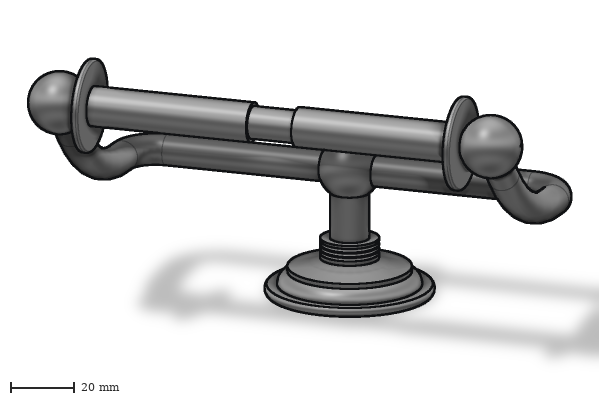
import cadquery as cq
import math

overall_width = 164.6
ball_radius = 10.0
tube_radius = ball_radius / 2
arm_x = overall_width / 2 - ball_radius
bar_height = 41.2
bend_radius = 11.0

roller_y = -71.8
roller_height = 76.4
arm_angle = math.radians(48)

flange_radius = 27.0
flange_height = 3.0
flange_bulge = 0.7
bulge_radius = 23.0
step_radius = 19.8
shoulder_radius = 21.7
shoulder_height = 6.1
step_bottom = 7.2
step_top = 8.9
dish_radius = 14.0
dish_height = 10.0
collar_radius = 9.4
collar_bottom = 11.7
collar_top = 18.3
stem_radius = 6.3

groove_count = 3
groove_width = 1.2
groove_depth = 0.3
groove_pitch = 1.5
grooves_bottom = 13.2

disc_radius = 15.0
disc_inner_x = 61.0
disc_thickness = 2.3
disc_rounding = 0.7
sleeve_radius = 6.5
spindle_radius = 5.3
spindle_half_gap = 7.5


def x_cylinder(radius, x_start, x_end, y, z):
    """Cylinder along X between two positions."""
    plane = cq.Workplane("YZ", origin=(x_start, y, z))
    return plane.circle(radius).extrude(x_end - x_start)


def ball(x, y, z):
    return cq.Workplane("XY").sphere(ball_radius).translate((x, y, z))


def make_base():
    """Turned foot with a dished top, grooved collar and plain stem."""
    rim_edge = flange_radius - flange_bulge
    outline = (
        cq.Workplane("XZ")
        .lineTo(rim_edge, 0)
        .threePointArc((flange_radius, flange_height / 2), (rim_edge, flange_height))
        .lineTo(bulge_radius, flange_height)
        .threePointArc((shoulder_radius, shoulder_height), (step_radius, step_bottom))
        .lineTo(step_radius, step_top)
        .threePointArc((dish_radius, dish_height), (collar_radius, collar_bottom))
    )
    for index in range(groove_count):
        groove_start = grooves_bottom + index * groove_pitch
        outline = outline.lineTo(collar_radius, groove_start)
        deepest = (collar_radius - groove_depth, groove_start + groove_width / 2)
        outline = outline.threePointArc(deepest, (collar_radius, groove_start + groove_width))
    foot = (
        outline.lineTo(collar_radius, collar_top)
        .lineTo(0, collar_top)
        .close()
        .revolve(360, (0, 0, 0), (0, 1, 0))
    )
    stem = cq.Workplane("XY").circle(stem_radius).extrude(bar_height)
    return foot.union(stem)


def make_half_frame():
    """Right half of the frame: cross bar, corner bend, rising arm and end ball."""
    straight_x = arm_x - bend_radius
    rise = roller_height - bar_height
    reach = -roller_y - bend_radius
    distance_to_tangent = reach * math.sin(arm_angle) - rise * math.cos(arm_angle)
    arc_radius = distance_to_tangent / (1 - math.cos(arm_angle))

    def arc_point(angle):
        return (
            arm_x,
            -bend_radius - arc_radius * math.sin(angle),
            bar_height + arc_radius * (1 - math.cos(angle)),
        )

    bend_shift = bend_radius * (1 - math.sqrt(0.5))
    bar_start = cq.Vector(0, 0, bar_height)
    bend_start = cq.Vector(straight_x, 0, bar_height)
    bend_middle = cq.Vector(arm_x - bend_shift, -bend_shift, bar_height)
    arc_start = cq.Vector(*arc_point(0))
    arc_middle = cq.Vector(*arc_point(arm_angle / 2))
    arc_end = cq.Vector(*arc_point(arm_angle))
    arm_end = cq.Vector(arm_x, roller_y, roller_height)
    path = cq.Wire.assembleEdges([
        cq.Edge.makeLine(bar_start, bend_start),
        cq.Edge.makeThreePointArc(bend_start, bend_middle, arc_start),
        cq.Edge.makeThreePointArc(arc_start, arc_middle, arc_end),
        cq.Edge.makeLine(arc_end, arm_end),
    ])
    profile = cq.Workplane("YZ", origin=bar_start.toTuple()).circle(tube_radius)
    tube = profile.sweep(cq.Workplane(path))
    return tube.union(ball(arm_x, roller_y, roller_height))


def make_half_roller():
    """Right half of the roller: spindle, sleeve and end disc."""
    axis = (roller_y, roller_height)
    spindle = x_cylinder(spindle_radius, 0, disc_inner_x, *axis)
    sleeve = x_cylinder(sleeve_radius, spindle_half_gap, disc_inner_x, *axis)
    disc = x_cylinder(disc_radius, disc_inner_x, disc_inner_x + disc_thickness, *axis)
    disc = disc.edges().fillet(disc_rounding)
    return spindle.union(sleeve).union(disc)


half = make_half_frame().union(make_half_roller())
result = make_base().union(ball(0, 0, bar_height)).union(half).union(half.mirror("YZ"))